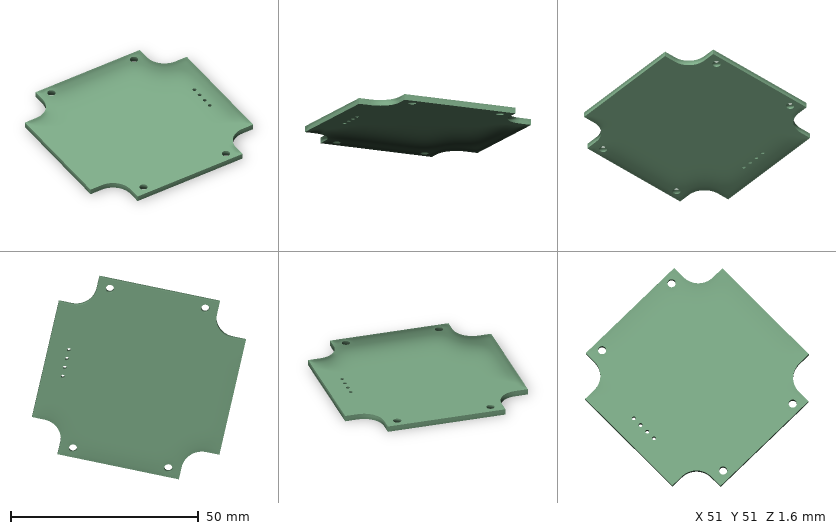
import cadquery as cq

side = 51.0
thickness = 1.6
half = side / 2

notch_radius = 5.5
notch_size = 9.1
small_notch_x = 8.75
small_notch_y = 8.85

mount_diameter = 2.2
mount_spacing_x = 46.0
mount_spacing_y = 26.0

pin_diameter = 1.0
pin_count = 4
pin_pitch = 2.55
pin_row_y = 20.0


def corner_notch(x_sign, y_sign, size_x, size_y):
    """Cutter for one plate corner, rounded where it reaches furthest into the plate."""
    return (
        cq.Workplane("XY")
        .center(x_sign * half, y_sign * half)
        .rect(2 * size_x, 2 * size_y)
        .extrude(thickness)
        .edges("|Z")
        .fillet(notch_radius)
    )


plate = cq.Workplane("XY").rect(side, side).extrude(thickness)

corner_notches = [
    (-1, -1, notch_size, notch_size),
    (-1, 1, notch_size, notch_size),
    (1, -1, notch_size, notch_size),
    (1, 1, small_notch_x, small_notch_y),
]
for x_sign, y_sign, size_x, size_y in corner_notches:
    plate = plate.cut(corner_notch(x_sign, y_sign, size_x, size_y))

mount_holes = (
    cq.Workplane("XY")
    .rarray(mount_spacing_x, mount_spacing_y, 2, 2)
    .circle(mount_diameter / 2)
    .extrude(thickness)
)

pin_holes = (
    cq.Workplane("XY")
    .center(0, pin_row_y)
    .rarray(pin_pitch, 0.5, pin_count, 1)
    .circle(pin_diameter / 2)
    .extrude(thickness)
)

result = plate.cut(mount_holes).cut(pin_holes)